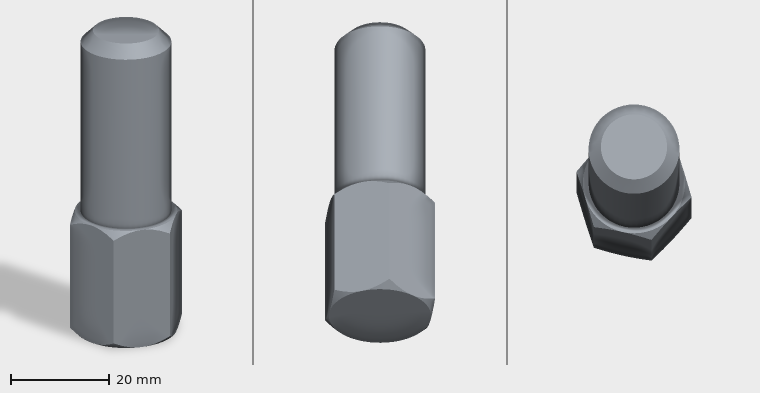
import cadquery as cq
import math

total_length = 66.0
hex_length = 26.0
across_flats = 20.8
across_corners = across_flats / math.cos(math.radians(30))

shank_diameter = 18.5
shank_chamfer = 2.5

corner_chamfer = (across_corners - across_flats) / 2


def hex_body():
    """Hexagonal prism with its corners turned down at both ends."""
    prism = cq.Workplane("XY").polygon(6, across_corners).extrude(hex_length)
    turned_blank = (
        cq.Workplane("XY")
        .circle(across_corners / 2)
        .extrude(hex_length)
        .edges("%CIRCLE")
        .chamfer(corner_chamfer)
    )
    return prism.intersect(turned_blank)


def shank():
    """Round shank rising from the hexagon, chamfered at its free end."""
    return (
        cq.Workplane("XY")
        .workplane(offset=hex_length)
        .circle(shank_diameter / 2)
        .extrude(total_length - hex_length)
        .faces(">Z")
        .chamfer(shank_chamfer)
    )


result = hex_body().union(shank())